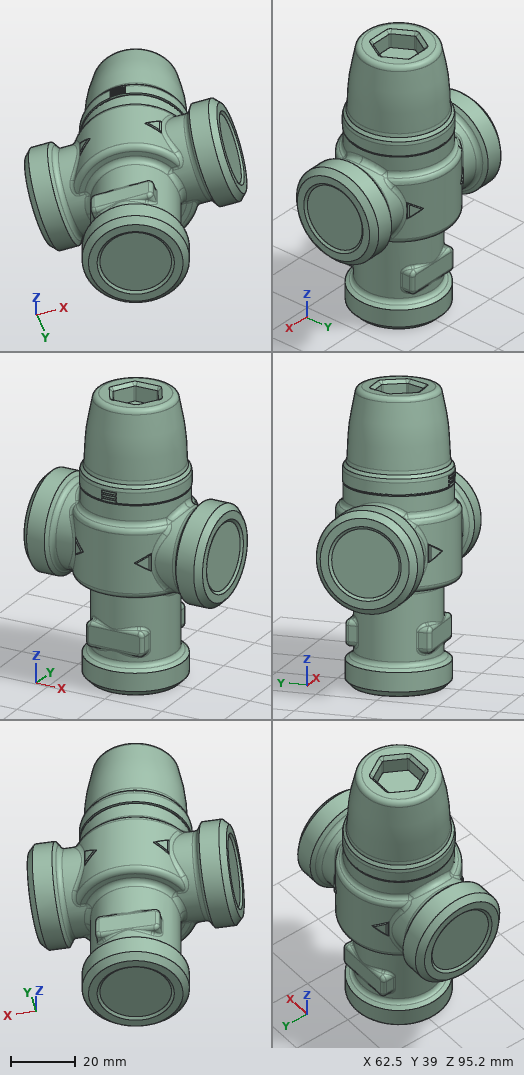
import cadquery as cq
import math

total_height = 95.2
port_span = 62.5
port_axis_z = 46.6

flange_radius = 16.6
flange_length = 8.2
flange_end_chamfer = 2.0
shoulder_radius = 15.2
shoulder_distance = 9.1
neck_radius = 14.0
neck_start = 10.9
neck_cove = 1.9
bore_radius = 11.9
bore_floor_radius = 11.0
bore_depth = 0.7

body_radius = 19.5
body_bottom_z = 34.3
body_side_top_z = 55.9
collar_bottom_z = 59.6
body_edge_fillet = 1.9
body_bottom_cove = 1.9
stem_top_z = body_bottom_z - body_bottom_cove
collar_radius = 17.2
collar_top_z = 64.7
neck_blend = 1.9

groove_radius = 16.7
ring_bottom_z = 65.3
ring_radius = 17.4
ring_top_z = 69.1
ring_bevel = [(17.1, 70.3), (16.3, 71.3)]
knob_base_radius = 16.0
knob_base_z = 72.5
knob_top_radius = 13.4
knob_edge_fillet = 1.9
knob_flat_radius = 11.4
knob_edge_z = 93.7

socket_across_flats = 13.9
socket_rim_across_flats = 16.2
socket_depth = 6.2
socket_corner_fillet = 0.6

pad_center_z = 17.5
pad_width = 20.2
pad_height = 8.6
pad_face_y = 14.1
pad_corner_radius = 1.7
pad_edge_fillet = 1.2
pad_base_fillet = 0.95
pad_root_y = 5.7
pad_band_height = 19.0

arrow_base_x = 13.2
arrow_tip_x = 8.95
arrow_half_height = 2.95
arrow_relief = 0.5
arrow_bevel = 0.4

bar_width = 5.0
bar_height = 0.8
bar_pitch = 1.3
bar_relief = 0.2
lowest_bar_z = 65.7
bar_count = 3

mark_trim_height = 9.5


def make_drum_and_cap():
    """Drum, collar and cap as one turned solid about Z."""
    knob_mid_radius = knob_base_radius - (knob_base_radius - knob_top_radius) / 4
    knob_mid_z = (knob_base_z + knob_edge_z) / 2
    s_width = body_radius - collar_radius
    s_height = collar_bottom_z - body_side_top_z
    s_radius = (s_width**2 + s_height**2) / (4 * s_width)
    inflection = (body_radius - s_width / 2, body_side_top_z + s_height / 2)
    profile = (
        cq.Workplane("XZ")
        .moveTo(0, stem_top_z)
        .lineTo(neck_radius, stem_top_z)
        .radiusArc((neck_radius + body_bottom_cove, body_bottom_z), body_bottom_cove)
        .lineTo(body_radius - body_edge_fillet, body_bottom_z)
        .radiusArc((body_radius, body_bottom_z + body_edge_fillet), -body_edge_fillet)
        .lineTo(body_radius, body_side_top_z)
        .radiusArc(inflection, -s_radius)
        .radiusArc((collar_radius, collar_bottom_z), s_radius)
        .lineTo(collar_radius, collar_top_z)
        .lineTo(groove_radius, collar_top_z)
        .lineTo(groove_radius, ring_bottom_z)
        .lineTo(ring_radius, ring_bottom_z)
        .lineTo(ring_radius, ring_top_z)
        .lineTo(*ring_bevel[0])
        .lineTo(*ring_bevel[1])
        .lineTo(knob_base_radius, knob_base_z)
        .threePointArc((knob_mid_radius, knob_mid_z), (knob_top_radius, knob_edge_z))
        .radiusArc((knob_flat_radius, total_height), -knob_edge_fillet)
        .lineTo(0, total_height)
        .close()
    )
    return profile.revolve(360, (0, 0, 0), (0, 1, 0))


def make_port(length):
    """Flanged port end: outer face at Z = 0, neck running up to the given length."""
    return (
        cq.Workplane("XZ")
        .moveTo(0, bore_depth)
        .lineTo(bore_floor_radius, bore_depth)
        .lineTo(bore_radius, 0)
        .lineTo(flange_radius - flange_end_chamfer, 0)
        .lineTo(flange_radius, flange_end_chamfer)
        .lineTo(flange_radius, flange_length)
        .lineTo(shoulder_radius, shoulder_distance)
        .radiusArc((neck_radius, neck_start), neck_cove)
        .lineTo(neck_radius, length)
        .lineTo(0, length)
        .close()
        .revolve(360, (0, 0, 0), (0, 1, 0))
    )


def cut_socket(part):
    """Hexagonal socket with a bevelled rim, vertices on the X axis."""
    corner_ratio = 2 / math.sqrt(3)
    rim_bevel = (socket_rim_across_flats - socket_across_flats) / 2
    socket = (
        cq.Workplane("XY", origin=(0, 0, total_height - socket_depth))
        .polygon(6, socket_across_flats * corner_ratio)
        .extrude(socket_depth)
        .edges("|Z")
        .fillet(socket_corner_fillet)
    )
    smallest_wire = cq.selectors.AreaNthSelector(0)
    return part.cut(socket).faces(">Z").wires(smallest_wire).edges().chamfer(rim_bevel)


def add_pads(part):
    """Flat wrench pads on the -Y and +Y sides, blended into the lower stem."""
    front = (
        cq.Workplane("XZ", origin=(0, -pad_root_y, pad_center_z))
        .rect(pad_width, pad_height)
        .extrude(pad_face_y - pad_root_y)
        .edges("|Y")
        .fillet(pad_corner_radius)
        .faces("<Y")
        .edges()
        .fillet(pad_edge_fillet)
    )
    band = cq.Workplane("XY", origin=(0, 0, pad_center_z)).cylinder(pad_band_height, neck_radius)
    padded_band = band.union(front).union(front.mirror("XZ"))
    return part.union(padded_band.edges("%BSPLINE").fillet(pad_base_fillet))


def upright_cylinder(radius, center_z):
    """Cylinder about the Z axis, tall enough to trim a raised mark to its relief."""
    return cq.Workplane("XY", origin=(0, 0, center_z)).cylinder(mark_trim_height, radius)


def make_arrow():
    """Raised triangle on the -X, -Y quarter of the drum, pointing toward the middle."""
    return (
        cq.Workplane("XZ", origin=(0, 0, port_axis_z))
        .moveTo(-arrow_base_x, -arrow_half_height)
        .lineTo(-arrow_tip_x, 0)
        .lineTo(-arrow_base_x, arrow_half_height)
        .close()
        .extrude(body_radius + 2 * arrow_relief)
        .intersect(upright_cylinder(body_radius + arrow_relief, port_axis_z))
        .faces(cq.selectors.DirectionMinMaxSelector(cq.Vector(-arrow_base_x, -body_radius, 0)))
        .edges()
        .chamfer(arrow_bevel)
    )


def add_arrows(part):
    arrow = make_arrow()
    pair = arrow.union(arrow.mirror("YZ"))
    return part.union(pair).union(pair.mirror("XZ"))


def add_index_mark(part):
    """Three stacked bars standing slightly proud of the cap ring."""
    for row in range(bar_count):
        bar_z = lowest_bar_z + row * bar_pitch
        bar = (
            cq.Workplane("XZ", origin=(0, 0, bar_z))
            .rect(bar_width, bar_height)
            .extrude(ring_radius + 2 * bar_relief)
            .intersect(upright_cylinder(ring_radius + bar_relief, bar_z))
        )
        part = part.union(bar)
    return part


half_span = port_span / 2
left_port = (
    make_port(half_span)
    .rotate((0, 0, 0), (0, 1, 0), 90)
    .translate((-half_span, 0, port_axis_z))
)
body = make_drum_and_cap().union(make_port(stem_top_z)).union(left_port).union(left_port.mirror("YZ"))
body = body.edges("%BSPLINE").fillet(neck_blend)
body = cut_socket(body)
body = add_pads(body)
body = add_arrows(body)
result = add_index_mark(body)